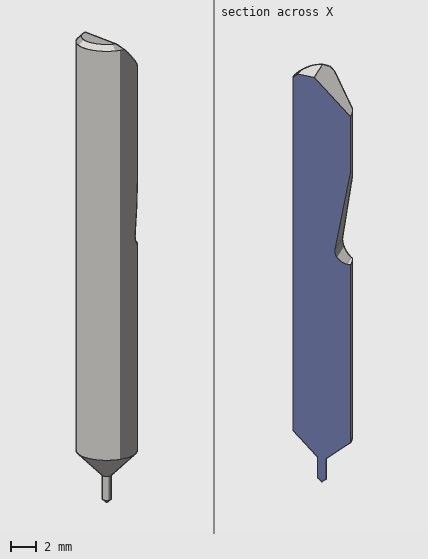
import cadquery as cq

length = 38.1
shank_radius = 2.38
neck_radius = 0.362
tip_height = 0.3
neck_top = 2.25
top_chamfer = 0.42

flat_distance = 2.02
flat_angle = 143.0

bevel_start_y = -0.6

notch_bottom = 21.1
notch_top = 29.8
notch_depth = 1.3
notch_fillet = 1.0

clearance = 7.62


def make_body():
    """Turned profile: pointed tip, neck, 45 degree shoulder, chamfered shank."""
    shoulder_top = neck_top + shank_radius - neck_radius
    return (
        cq.Workplane("XZ")
        .moveTo(0, 0)
        .lineTo(neck_radius, tip_height)
        .lineTo(neck_radius, neck_top)
        .lineTo(shank_radius, shoulder_top)
        .lineTo(shank_radius, length - top_chamfer)
        .lineTo(shank_radius - top_chamfer, length)
        .lineTo(0, length)
        .close()
        .revolve(360, (0, 0, 0), (0, 1, 0))
    )


def make_side_flat():
    """Block that removes the shank beyond the flat."""
    return (
        cq.Workplane("XY")
        .box(clearance, clearance, length, centered=(False, True, False))
        .translate((flat_distance, 0, 0))
        .rotate((0, 0, 0), (0, 0, 1), flat_angle)
    )


def make_bevel():
    """Wedge that slopes the upper end down towards +Y at 45 degrees."""
    return (
        cq.Workplane("YZ")
        .moveTo(bevel_start_y, length)
        .lineTo(bevel_start_y + clearance, length)
        .lineTo(bevel_start_y + clearance, length - clearance)
        .close()
        .extrude(clearance, both=True)
    )


def make_notch():
    """Ramped notch with a rounded inner corner, running through along X."""
    floor_y = shank_radius - notch_depth
    ramp_rise = notch_top - notch_bottom - notch_fillet
    ramp_slope = notch_depth / ramp_rise
    corner_y = floor_y - ramp_slope * notch_fillet
    outer_y = shank_radius + notch_depth
    outer_top = notch_top + notch_depth / ramp_slope
    return (
        cq.Workplane("YZ")
        .moveTo(corner_y, notch_bottom)
        .lineTo(outer_y, notch_bottom)
        .lineTo(outer_y, outer_top)
        .close()
        .extrude(clearance, both=True)
        .edges(cq.selectors.NearestToPointSelector((0, corner_y, notch_bottom)))
        .fillet(notch_fillet)
    )


result = (
    make_body()
    .cut(make_side_flat())
    .cut(make_bevel())
    .cut(make_notch())
)